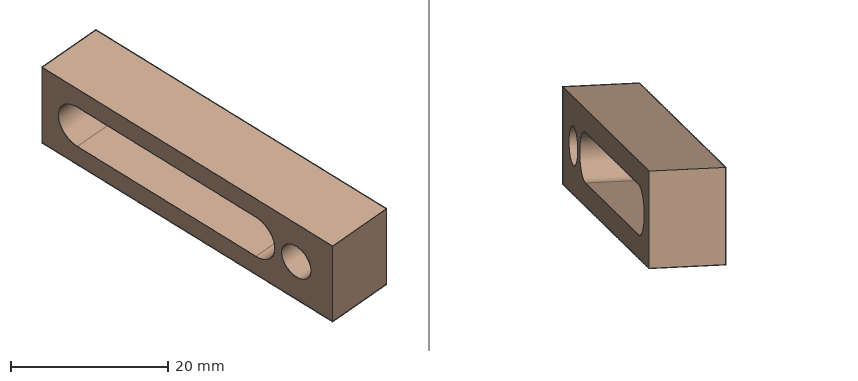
import cadquery as cq

length = 50.8
depth = 10.0
height = 12.7

slot_left_margin = 2.9
slot_length = 37.8
slot_width = 6.6

hole_diameter = 5.15
hole_from_right_end = 6.35

slot_center_x = -length / 2 + slot_left_margin + slot_length / 2
hole_center_x = length / 2 - hole_from_right_end

bar = cq.Workplane("XY").box(length, depth, height)

slot_cutter = (
    cq.Workplane("XZ")
    .center(slot_center_x, 0)
    .slot2D(slot_length, slot_width)
    .extrude(depth, both=True)
)
hole_cutter = (
    cq.Workplane("XZ")
    .center(hole_center_x, 0)
    .circle(hole_diameter / 2)
    .extrude(depth, both=True)
)

result = bar.cut(slot_cutter).cut(hole_cutter)